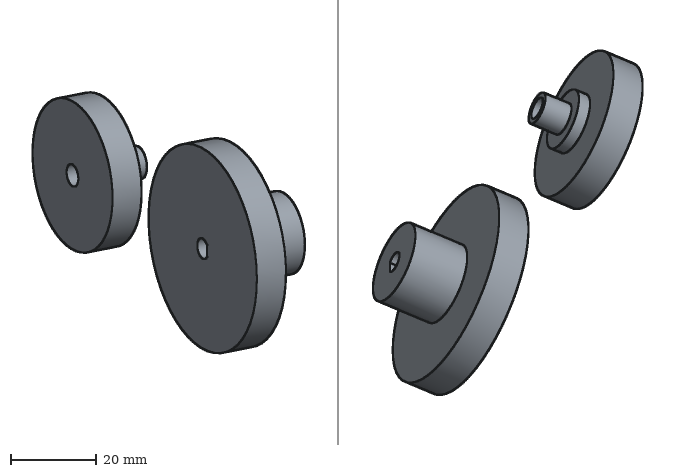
import cadquery as cq

disc_thickness = 8.0

large_diameter = 50.0
large_hub_diameter = 20.0
large_hub_length = 14.1
large_bore_diameter = 5.0
large_bore_flat_offset = 2.0

small_diameter = 37.0
small_collar_diameter = 15.0
small_collar_length = 3.0
small_hub_diameter = 8.0
small_hub_length = 7.0
small_bore_diameter = 5.4

overall_length = 103.5
axis_spacing = overall_length - (large_diameter + small_diameter) / 2


def stepped_wheel(center_x, steps, bore_diameter, flat_offset=None):
    """Stack (diameter, length) cylinders toward +Y and bore through them all.

    A flat_offset makes the bore D-shaped, with its flat on the +X side.
    """
    front = cq.Workplane("XZ", origin=(center_x, 0, 0))
    wheel = cq.Workplane("XY")
    depth = 0.0
    for diameter, length in steps:
        step = front.workplane(offset=-depth).circle(diameter / 2).extrude(-length)
        wheel = wheel.union(step)
        depth += length
    bore = front.circle(bore_diameter / 2).extrude(-depth)
    if flat_offset is not None:
        flat_side = (
            front.center(flat_offset, 0)
            .rect(bore_diameter, bore_diameter)
            .extrude(-depth)
            .translate((bore_diameter / 2, 0, 0))
        )
        bore = bore.cut(flat_side)
    return wheel.cut(bore)


small_wheel = stepped_wheel(
    0,
    [
        (small_diameter, disc_thickness),
        (small_collar_diameter, small_collar_length),
        (small_hub_diameter, small_hub_length),
    ],
    small_bore_diameter,
)

large_wheel = stepped_wheel(
    axis_spacing,
    [
        (large_diameter, disc_thickness),
        (large_hub_diameter, large_hub_length),
    ],
    large_bore_diameter,
    large_bore_flat_offset,
)

result = cq.Compound.makeCompound([small_wheel.val(), large_wheel.val()])